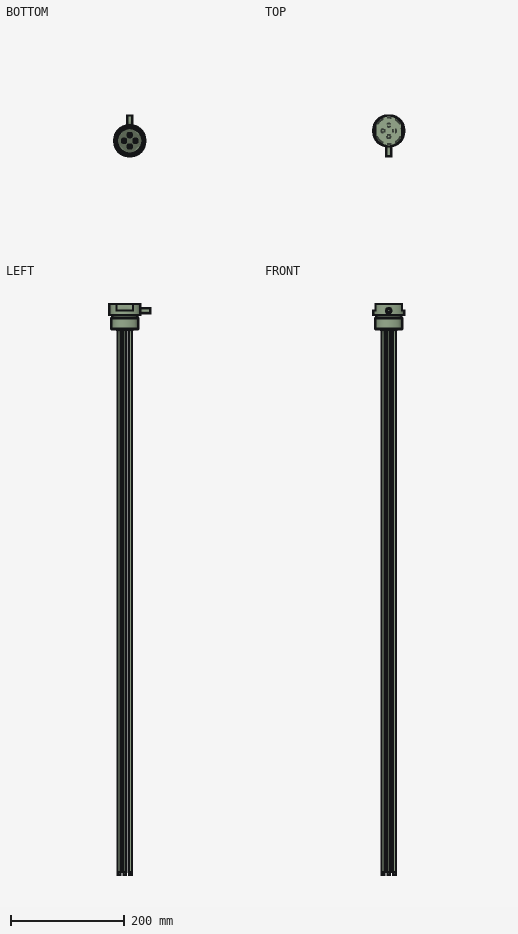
import cadquery as cq

total_length = 1006.73

head_height = 45.0
cap_diameter = 55.0
cap_height = 20.0
skirt_diameter = 47.8
groove_diameter = 44.84
groove_height = 4.0
skirt_chamfer = (skirt_diameter - groove_diameter) / 2

flat_distance = 23.55
flat_height = 11.5

outlet_diameter = 9.0
outlet_bore_diameter = 6.4
outlet_reach = 45.0
outlet_drop = 12.2
outlet_bore_depth = outlet_reach - cap_diameter / 2

rod_count = 4
rod_circle_radius = 10.0
rod_diameter = 5.0
sleeve_diameter = 6.0
tip_length = 5.0
collar_diameter = 7.6
collar_height = 1.0


def cylinder_below(top_z, diameter, height):
    """Vertical cylinder hanging down from top_z on the Z axis."""
    return cq.Workplane("XY").workplane(offset=top_z).circle(diameter / 2).extrude(-height)


def make_cap():
    """Round cap with a flat cut into each X side."""
    cap = cylinder_below(0, cap_diameter, cap_height)
    cut_width = cap_diameter / 2 - flat_distance
    cut_center = flat_distance + cut_width / 2
    for side in (-1, 1):
        cutter = (
            cq.Workplane("XY")
            .center(side * cut_center, 0)
            .rect(cut_width, cap_diameter)
            .extrude(-flat_height)
        )
        cap = cap.cut(cutter)
    return cap


def make_skirt():
    """Relief groove and skirt; both skirt ends are chamfered to the groove diameter."""
    groove = cylinder_below(-cap_height, groove_diameter, groove_height)
    skirt_top = -cap_height - groove_height
    skirt = cylinder_below(skirt_top, skirt_diameter, head_height + skirt_top)
    skirt = skirt.faces("<Z or >Z").chamfer(skirt_chamfer)
    return groove.union(skirt)


def make_outlet():
    """Round stub running from the cap axis out to -Y."""
    return (
        cq.Workplane("XZ")
        .center(0, -outlet_drop)
        .circle(outlet_diameter / 2)
        .extrude(outlet_reach)
    )


def bore_outlet(body):
    """Blind bore in the end of the outlet, as deep as the stub stands out of the cap."""
    bore = (
        cq.Workplane("XZ", origin=(0, -outlet_reach, -outlet_drop))
        .circle(outlet_bore_diameter / 2)
        .extrude(-outlet_bore_depth)
    )
    return body.cut(bore)


def make_rods():
    """Rods, sleeves and collars, evenly spaced on a circle below the head."""
    places = (
        cq.Workplane("XY")
        .workplane(offset=-head_height)
        .polarArray(rod_circle_radius, 0, 360, rod_count)
    )
    rod_length = total_length - head_height
    rods = places.circle(rod_diameter / 2).extrude(-rod_length)
    sleeves = places.circle(sleeve_diameter / 2).extrude(-(rod_length - tip_length))
    collars = places.circle(collar_diameter / 2).extrude(-collar_height)
    return rods.union(sleeves).union(collars)


head = make_cap().union(make_skirt()).union(make_outlet())
result = bore_outlet(head).union(make_rods())